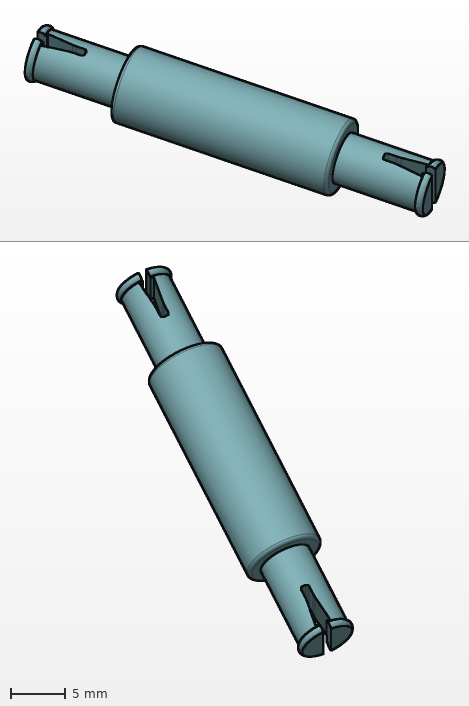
import cadquery as cq
import math

TOTAL_LENGTH = 40.0
BODY_LENGTH = 21.8
BODY_DIAMETER = 7.5
BODY_EDGE_RADIUS = 0.35

PIN_DIAMETER = 5.0
COLLAR_DIAMETER = 5.5
COLLAR_LENGTH = 0.8
COLLAR_FACE_DIAMETER = 5.1

SLOT_WIDTH = 0.8
SLOT_DEPTH = 5.0
SLOT_CORNER_RADIUS = 0.25
WIDE_SLOT_WIDTH = 1.45
WIDE_SLOT_START = 0.95
TAPER_END = 3.7
TAPER_BLEND_REACH = 0.2

END_X = TOTAL_LENGTH / 2


def cylinder_along_x(diameter, length, start_x):
    """Solid cylinder on the X axis, running in +X from start_x."""
    return cq.Workplane("YZ", origin=(start_x, 0, 0)).circle(diameter / 2).extrude(length)


def make_body():
    """Thick central barrel with rounded rims."""
    barrel = cylinder_along_x(BODY_DIAMETER, BODY_LENGTH, -BODY_LENGTH / 2)
    return barrel.edges("%CIRCLE").fillet(BODY_EDGE_RADIUS)


def make_left_collar():
    """Collar at the -X end of the pin, with a barrel-shaped rim highest at mid-length."""
    face_radius = COLLAR_FACE_DIAMETER / 2
    inner_x = -END_X + COLLAR_LENGTH
    crest = (-END_X + COLLAR_LENGTH / 2, COLLAR_DIAMETER / 2)
    return (
        cq.Workplane("XY")
        .moveTo(-END_X, 0)
        .lineTo(-END_X, face_radius)
        .threePointArc(crest, (inner_x, face_radius))
        .lineTo(inner_x, 0)
        .close()
        .revolve(360, (0, 0, 0), (1, 0, 0))
    )


def make_left_slot():
    """Cutter for the -X slot: narrow mouth, step to a wide part, taper to a narrow blind end."""
    mouth_x = -END_X
    wide_x = mouth_x + WIDE_SLOT_START
    taper_end_x = mouth_x + TAPER_END
    bottom_x = mouth_x + SLOT_DEPTH
    narrow_y = SLOT_WIDTH / 2
    wide_y = WIDE_SLOT_WIDTH / 2
    taper_angle = math.atan2(wide_y - narrow_y, taper_end_x - wide_x)
    blend_start_x = taper_end_x - TAPER_BLEND_REACH * math.cos(taper_angle)
    blend_start_y = narrow_y + TAPER_BLEND_REACH * math.sin(taper_angle)
    half_slot = (
        cq.Workplane("XY")
        .moveTo(mouth_x, 0)
        .lineTo(mouth_x, narrow_y)
        .lineTo(wide_x, narrow_y)
        .lineTo(wide_x, wide_y)
        .lineTo(blend_start_x, blend_start_y)
        .tangentArcPoint((taper_end_x + TAPER_BLEND_REACH, narrow_y), relative=False)
        .lineTo(bottom_x - SLOT_CORNER_RADIUS, narrow_y)
        .tangentArcPoint((bottom_x, narrow_y - SLOT_CORNER_RADIUS), relative=False)
        .lineTo(bottom_x, 0)
        .close()
        .extrude(COLLAR_DIAMETER / 2, both=True)
    )
    return half_slot.union(half_slot.mirror("XZ"))


def both_ends(left_shape):
    """A feature at the -X end together with its mirror image at the +X end."""
    return left_shape.union(left_shape.mirror("YZ"))


def make_part():
    pin = cylinder_along_x(PIN_DIAMETER, TOTAL_LENGTH, -END_X)
    solid = pin.union(make_body()).union(both_ends(make_left_collar()))
    return solid.cut(both_ends(make_left_slot()))


result = make_part()